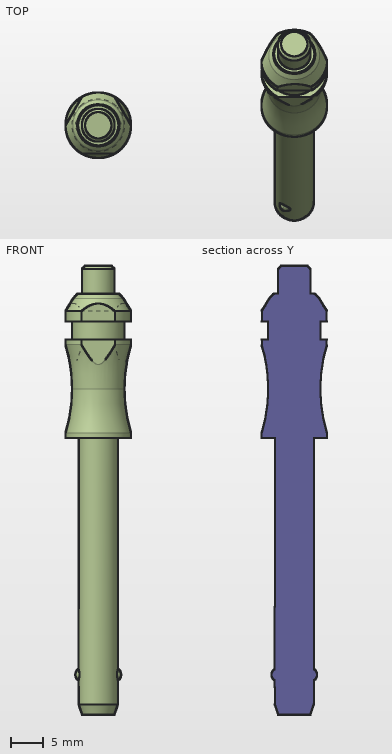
import cadquery as cq


shank_radius = 3.0
shank_length = 42.0
tip_radius = 2.45
tip_length = 1.6

ball_radius = 1.0
ball_offset = 2.5
ball_height_above_tip = 6.1

flange_radius = 5.0
grip_height = 15.0
flange_band = 0.8
waist_radius = 4.0

neck_radius = 4.0
neck_height = 2.7
head_band = 1.6
head_cone_height = 1.9
shoulder_radius = 3.85
shoulder_height = 0.8
crown_radius = 3.2
crown_bevel_width = 0.15
crown_bevel_height = 0.08

button_radius = 2.5
button_height = 4.2
button_chamfer = 0.5

flat_count = 3
flat_distance = 4.3

shank_bottom = -shank_length
waist_z = grip_height / 2
head_bottom = grip_height + neck_height
head_cone_bottom = head_bottom + head_band
shoulder_bottom = head_cone_bottom + head_cone_height
crown_z = shoulder_bottom + shoulder_height
button_top = crown_z + button_height


def waist_arc_middle(end_z):
    """Midpoint of the arc that leaves the waist parallel to the axis and ends on the flange."""
    rise = abs(end_z - waist_z)
    flare = flange_radius - waist_radius
    arc_radius = (rise**2 + flare**2) / (2 * flare)
    half_rise = rise / 2
    half_flare = arc_radius - (arc_radius**2 - half_rise**2) ** 0.5
    return waist_radius + half_flare, (waist_z + end_z) / 2


def pin_body():
    """Shank, grip, neck, head and button as one revolved profile; the two flares stay separate faces."""
    lower_flare_z = flange_band
    upper_flare_z = grip_height - flange_band
    return (
        cq.Workplane("XZ")
        .moveTo(0, shank_bottom)
        .lineTo(tip_radius, shank_bottom)
        .lineTo(shank_radius, shank_bottom + tip_length)
        .lineTo(shank_radius, 0)
        .lineTo(flange_radius, 0)
        .lineTo(flange_radius, lower_flare_z)
        .threePointArc(waist_arc_middle(lower_flare_z), (waist_radius, waist_z))
        .threePointArc(waist_arc_middle(upper_flare_z), (flange_radius, upper_flare_z))
        .lineTo(flange_radius, grip_height)
        .lineTo(neck_radius, grip_height)
        .lineTo(neck_radius, head_bottom)
        .lineTo(flange_radius, head_bottom)
        .lineTo(flange_radius, head_cone_bottom)
        .lineTo(shoulder_radius, shoulder_bottom)
        .lineTo(crown_radius, crown_z - crown_bevel_height)
        .lineTo(crown_radius - crown_bevel_width, crown_z)
        .lineTo(button_radius, crown_z)
        .lineTo(button_radius, button_top - button_chamfer)
        .lineTo(button_radius - button_chamfer, button_top)
        .lineTo(0, button_top)
        .close()
        .revolve(360, (0, 0, 0), (0, 1, 0), clean=False)
    )


def cut_flats(body):
    """Cut the equally spaced flats, the first one facing -Y, from the waist up to the crown."""
    cutter_width = 2 * flange_radius
    cutter = (
        cq.Workplane("XY")
        .box(cutter_width, cutter_width, crown_z - waist_z, centered=(True, False, False))
        .translate((0, -flat_distance - cutter_width, waist_z))
    )
    for index in range(flat_count):
        body = body.cut(cutter.rotate((0, 0, 0), (0, 0, 1), index * 360 / flat_count), clean=False)
    return body


def add_balls(body):
    """Join the two opposite locking balls on the X axis."""
    ball_z = shank_bottom + ball_height_above_tip
    for side in (-1, 1):
        ball = cq.Workplane("XY").sphere(ball_radius).translate((side * ball_offset, 0, ball_z))
        body = body.union(ball, clean=False)
    return body


result = add_balls(cut_flats(pin_body()))